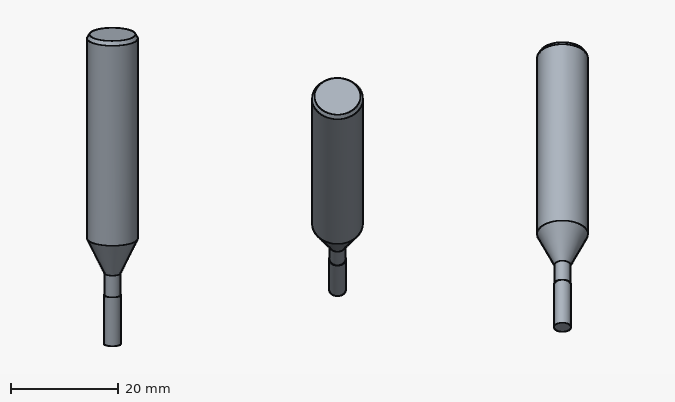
import cadquery as cq

total_length = 60.3

cutter_diameter = 3.2
cutter_length = 9.5

shank_diameter = 9.5
neck_diameter = 3.0
neck_length = 4.2
cone_length = 6.8
end_chamfer_width = 0.5
end_chamfer_height = 0.8

shank_radius = shank_diameter / 2
neck_radius = neck_diameter / 2
neck_top = cutter_length + neck_length
cone_top = neck_top + cone_length


def make_cutter():
    """Plain cylindrical cutting tip, from the bottom end up to the neck."""
    return (
        cq.Workplane("YZ")
        .polyline([
            (0, 0),
            (-cutter_diameter / 2, 0),
            (-cutter_diameter / 2, cutter_length),
            (0, cutter_length),
        ])
        .close()
        .revolve(360, (0, 0), (0, 1))
    )


def make_shank():
    """Neck, cone and chamfered shank, turned as one body about Z."""
    profile = [
        (0, cutter_length),
        (-neck_radius, cutter_length),
        (-neck_radius, neck_top),
        (-shank_radius, cone_top),
        (-shank_radius, total_length - end_chamfer_height),
        (-shank_radius + end_chamfer_width, total_length),
        (0, total_length),
    ]
    return cq.Workplane("YZ").polyline(profile).close().revolve(360, (0, 0), (0, 1))


cutter = make_cutter()
shank = make_shank()

result = cq.Compound.makeCompound([cutter.val(), shank.val()])